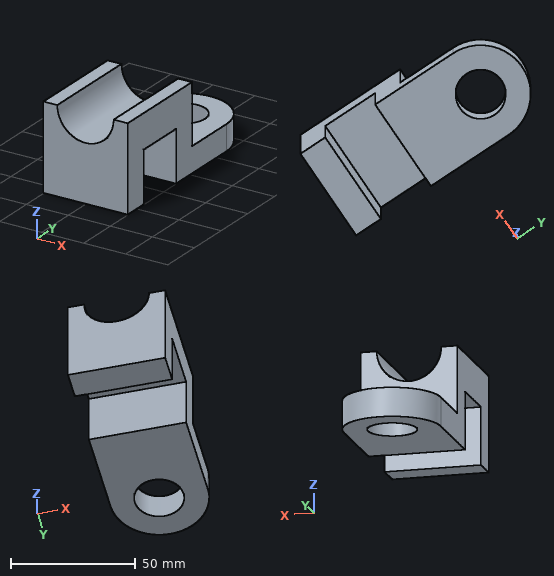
import cadquery as cq

width = 40.27
total_length = 93.93
wall = 12.08
slot_size = 24.16
cradle_radius = 13.42
hole_diameter = 20.13

height = width
block_length = 2 * wall + slot_size
tab_radius = width / 2
tab_center_y = total_length - tab_radius


def make_block():
    """Block with its front face at Y = 0, centered on X, standing on Z = 0."""
    return cq.Workplane("XY").box(width, block_length, height, centered=(True, False, False))


def make_tab():
    """Flat tab behind the block, ending in a full half-round."""
    return (
        cq.Workplane("XY")
        .moveTo(-tab_radius, block_length)
        .lineTo(tab_radius, block_length)
        .lineTo(tab_radius, tab_center_y)
        .threePointArc((0, total_length), (-tab_radius, tab_center_y))
        .close()
        .extrude(wall)
    )


def make_cradle():
    """Cylinder along Y, centered on the block's top face."""
    return (
        cq.Workplane("XZ", origin=(0, block_length, height))
        .circle(cradle_radius)
        .extrude(block_length)
    )


def make_slot():
    """Square slot through the block along X, open at the bottom."""
    return (
        cq.Workplane("XY", origin=(0, wall, 0))
        .box(width, slot_size, slot_size, centered=(True, False, False))
    )


def make_hole():
    """Vertical through hole, concentric with the rounded end of the tab."""
    return (
        cq.Workplane("XY", origin=(0, tab_center_y, 0))
        .circle(hole_diameter / 2)
        .extrude(wall)
    )


result = make_block().union(make_tab())
result = result.cut(make_cradle()).cut(make_slot()).cut(make_hole())